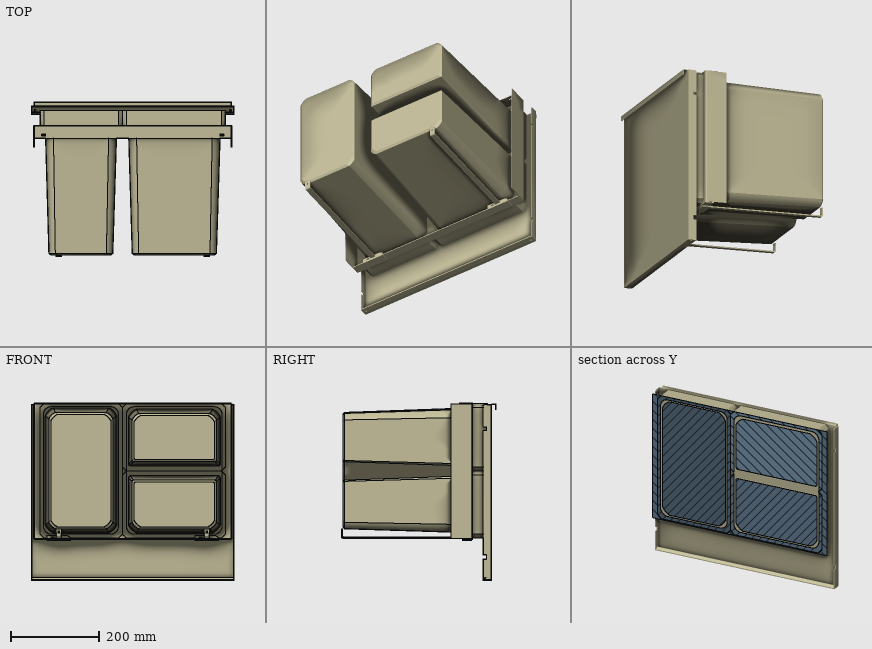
import cadquery as cq


sheet = 2.0

cover_width = 460.0
cover_height = 398.5
cover_front = 321.5
cover_back = 341.0
cover_corner_cut = 2.5
sill_height = 7.0
sill_lip_height = 2.5
sill_slope_depth = 5.0
sill_lip_edge = 1.5
sill_hole_x = 221.5
sill_hole_y = 330.7
sill_hole_diameter = 4.0
wall_notch_depth = 7.0
upper_notch = (340.5, 347.5)
lower_notch = (48.5, 58.0)

hook_width = 448.0
hook_top = 399.7
hook_sheet = 1.0
hook_back = 350.5
hook_drop = 12.0
hook_front_bend = 3.5
hook_back_bend = 0.7

frame_width = 450.0
frame_back = 297.5
frame_bottom = 92.5
frame_top = 402.0
frame_side_front = 248.0
frame_top_front = 267.5
frame_bottom_front = 277.0
frame_corner_relief = 2.0
frame_bend = 2.8
frame_slot_x = 202.0
frame_slot_y = 276.0
frame_slot_length = 8.5
frame_slot_width = 3.0

recess_bottom = 105.0
recess_top = 393.8
recess_radius = 17.0
left_recess = (-202.5, -32.5)
right_recess = (-14.3, 202.5)

rim_side = 210.0
rim_split_x = -23.5
rim_bottom = 95.5
rim_top = 401.0
rim_split_z = 248.0
rim_back = 330.7
rim_corner = 9.0
bin_floor = 3.0
floor_bevel_inset = 4.5
floor_bevel_depth = 3.5
neck_corner = 18.5
floor_corner = 14.5
inner_neck_corner = 4.5
inner_floor_corner = 2.8
corner_flatness = 2

rail_x = 168.0
rail_width = 12.5
rail_sheet = 2.8
rail_bottom = 95.0
rail_tip_top = 117.0
rail_bend = 4.0
rail_hole_z = 109.5
rail_hole_width = 3.0
rail_hole_height = 5.0

clip_start = 26.5
clip_length = 53.5
clip_bottom = 90.0
clip_top = 101.5
clip_nose_height = 6.5
clip_nose_length = 8.0
clip_foot_back = 295.5
clip_slot_start = 9.5
clip_slot_length = 6.5
clip_slot_height = 3.0
clip_slot_z = 97.0


def block(x_range, y_range, z_range):
    """Box between the given limits."""
    (x0, x1), (y0, y1), (z0, z1) = x_range, y_range, z_range
    return cq.Workplane("XY").box(x1 - x0, y1 - y0, z1 - z0, centered=False).translate((x0, y0, z0))


def centred(width):
    """Limits of a width that is symmetric about the middle plane."""
    return (-width / 2, width / 2)


def facing_plane(y):
    """Workplane whose local axes are X and Z, at depth y, extruding toward -Y."""
    return cq.Workplane("XZ", origin=(0, y, 0))


def make_cover():
    inner_back = cover_back - sheet
    cover = block(centred(cover_width), (inner_back, cover_back), (0, cover_height))

    wall = (
        cq.Workplane("YZ")
        .moveTo(cover_front, 0)
        .lineTo(cover_back, 0)
        .lineTo(cover_back, cover_height)
        .lineTo(cover_front + cover_corner_cut, cover_height)
        .lineTo(cover_front, cover_height - cover_corner_cut)
        .close()
        .extrude(sheet)
    )
    for notch in (upper_notch, lower_notch):
        wall = wall.cut(block((0, sheet), (cover_front, cover_front + wall_notch_depth), notch))
    for wall_x in (-cover_width / 2, cover_width / 2 - sheet):
        cover = cover.union(wall.translate((wall_x, 0, 0)))

    sill = (
        cq.Workplane("YZ", origin=(-cover_width / 2, 0, 0))
        .moveTo(cover_front, 0)
        .lineTo(cover_back, 0)
        .lineTo(cover_back, sheet)
        .lineTo(cover_front + sill_lip_edge, sheet)
        .lineTo(cover_front + sill_slope_depth + sill_lip_edge, sill_height)
        .lineTo(cover_front + sill_slope_depth, sill_height)
        .lineTo(cover_front, sill_lip_height)
        .close()
        .extrude(cover_width)
    )
    sill_holes = (
        cq.Workplane("XY")
        .pushPoints([(-sill_hole_x, sill_hole_y), (sill_hole_x, sill_hole_y)])
        .circle(sill_hole_diameter / 2)
        .extrude(sheet)
    )
    return cover.union(sill.cut(sill_holes)).union(make_hook_strip())


def make_hook_strip():
    """Strip that rises from the cover, folds back and turns down at its far edge."""
    front = cover_back - sheet
    return (
        cq.Workplane("YZ", origin=(-hook_width / 2, 0, 0))
        .moveTo(front, sill_height)
        .lineTo(front, hook_top - hook_front_bend)
        .radiusArc((front + hook_front_bend, hook_top), hook_front_bend)
        .lineTo(hook_back - hook_back_bend, hook_top)
        .radiusArc((hook_back, hook_top - hook_back_bend), hook_back_bend)
        .lineTo(hook_back, hook_top - hook_drop)
        .lineTo(hook_back - hook_sheet, hook_top - hook_drop)
        .lineTo(hook_back - hook_sheet, hook_top - hook_sheet)
        .lineTo(cover_back, hook_top - hook_sheet)
        .lineTo(cover_back, sill_height)
        .close()
        .extrude(hook_width)
    )


tall_rim = ((-rim_side, rim_split_x), (rim_bottom, rim_top))
upper_rim = ((rim_split_x, rim_side), (rim_split_z, rim_top))
lower_rim = ((rim_split_x, rim_side), (rim_bottom, rim_split_z))


def make_rim(x_range, z_range):
    """Eight-sided block that starts flush with the front of the frame plate."""
    return block(x_range, (frame_back - sheet, rim_back), z_range).edges("|Y").chamfer(rim_corner)


def make_rim_gap():
    """Space enclosed by the cut corners where the three rims meet."""
    return block(
        (rim_split_x, rim_split_x + rim_corner),
        (frame_back - sheet, frame_back),
        (rim_split_z - rim_corner, rim_split_z + rim_corner),
    )


def make_recess(x_range):
    """Round-cornered recess in the rim faces, as deep as the frame plate is thick."""
    recess = block(x_range, (frame_back - sheet, frame_back), (recess_bottom, recess_top))
    return recess.edges("|Y").fillet(recess_radius)


def make_frame():
    plate_width = frame_width - 2 * frame_corner_relief
    side_bottom = frame_bottom + frame_corner_relief
    side_top = frame_top - frame_corner_relief

    sides = block(centred(frame_width), (frame_side_front, frame_back), (side_bottom, side_top))
    sides = sides.edges("|Z and >Y").fillet(frame_bend)
    between_sides = block(
        centred(frame_width - 2 * sheet), (frame_side_front, frame_back - sheet), (side_bottom, side_top)
    )
    frame = sides.cut(between_sides)

    top_wall = block(centred(plate_width), (frame_top_front, frame_back), (frame_top - sheet, frame_top))
    slots = (
        cq.Workplane("XY", origin=(0, 0, frame_top - sheet))
        .pushPoints([(-frame_slot_x, frame_slot_y), (frame_slot_x, frame_slot_y)])
        .rect(frame_slot_length, frame_slot_width)
        .extrude(sheet)
    )
    bottom_wall = block(
        centred(plate_width), (frame_bottom_front, frame_back), (frame_bottom, frame_bottom + sheet)
    )
    plate = block(centred(plate_width), (frame_back - sheet, frame_back), (frame_bottom, frame_top))
    frame = frame.union(plate).union(top_wall.cut(slots)).union(bottom_wall)

    for rim_limits in (tall_rim, upper_rim, lower_rim):
        frame = frame.cut(make_rim(*rim_limits))
    return frame.cut(make_rim_gap())


def rounded_outline(y, x_range, z_range, bottom_corner, top_corner):
    """Closed rectangle at depth y with blunted corners, each cut by a flat arc.

    A corner size is the length that the arc takes from either side.
    """
    (x0, x1), (z0, z1) = x_range, z_range
    low, high = bottom_corner, top_corner
    low_radius = low * corner_flatness
    high_radius = high * corner_flatness
    return (
        facing_plane(y)
        .moveTo(x0 + low, z0)
        .lineTo(x1 - low, z0)
        .radiusArc((x1, z0 + low), -low_radius)
        .lineTo(x1, z1 - high)
        .radiusArc((x1 - high, z1), -high_radius)
        .lineTo(x0 + high, z1)
        .radiusArc((x0, z1 - high), -high_radius)
        .lineTo(x0, z0 + low)
        .radiusArc((x0 + low, z0), -low_radius)
        .close()
    )


def inset_limits(limits, inset):
    return tuple((low + inset, high - inset) for low, high in limits)


def make_bin(rim, recess, neck, floor, neck_corners, floor_corners):
    """One bin; rim, neck and floor are pairs of X limits and Z limits, corner sizes are (bottom, top)."""
    floor_face = inset_limits(floor, floor_bevel_inset)
    outlines = [
        rounded_outline(frame_back, *neck, *neck_corners),
        rounded_outline(bin_floor + floor_bevel_depth, *floor, *floor_corners),
        rounded_outline(bin_floor, *floor_face, *floor_corners),
    ]
    body = cq.Workplane(cq.Solid.makeLoft([outline.val() for outline in outlines], True))
    return make_rim(*rim).cut(make_recess(recess)).union(body)


tall_bin = make_bin(
    rim=tall_rim,
    recess=left_recess,
    neck=((-198.5, -36.0), (107.5, 391.5)),
    floor=((-190.5, -45.0), (117.0, 381.0)),
    neck_corners=(neck_corner, neck_corner),
    floor_corners=(floor_corner, floor_corner),
)
upper_bin = make_bin(
    rim=upper_rim,
    recess=right_recess,
    neck=((-10.0, 199.0), (259.0, 388.2)),
    floor=((-1.5, 190.0), (269.0, 378.5)),
    neck_corners=(inner_neck_corner, neck_corner),
    floor_corners=(inner_floor_corner, floor_corner),
)
lower_bin = make_bin(
    rim=lower_rim,
    recess=right_recess,
    neck=((-10.0, 199.0), (107.5, 237.5)),
    floor=((-1.5, 190.0), (117.0, 227.2)),
    neck_corners=(neck_corner, inner_neck_corner),
    floor_corners=(floor_corner, inner_floor_corner),
)


def make_rail(centre_x):
    """Flat strip that turns up at its free end; the other end butts against a clip."""
    rail_end = frame_bottom_front - sheet
    rail = (
        cq.Workplane("YZ", origin=(-rail_width / 2, 0, 0))
        .moveTo(rail_end, rail_bottom)
        .lineTo(rail_bend, rail_bottom)
        .radiusArc((0, rail_bottom + rail_bend), rail_bend)
        .lineTo(0, rail_tip_top)
        .lineTo(rail_sheet, rail_tip_top)
        .lineTo(rail_sheet, rail_bottom + rail_bend)
        .radiusArc((rail_bend, rail_bottom + rail_sheet), rail_sheet - rail_bend)
        .lineTo(rail_end, rail_bottom + rail_sheet)
        .close()
        .extrude(rail_width)
    )
    hole = (
        facing_plane(rail_sheet)
        .center(0, rail_hole_z)
        .rect(rail_hole_width, rail_hole_height)
        .extrude(rail_sheet)
    )
    return rail.cut(hole).translate((centre_x, 0, 0))


def make_clip(centre_x):
    """Angle clip: an upright plate before the frame's bottom wall and a foot under that wall."""
    plate = (
        facing_plane(frame_bottom_front)
        .moveTo(0, clip_bottom)
        .lineTo(clip_length, clip_bottom)
        .lineTo(clip_length, clip_bottom + clip_nose_height)
        .lineTo(clip_length - clip_nose_length, clip_top)
        .lineTo(0, clip_top)
        .close()
        .extrude(sheet)
    )
    slot = (
        facing_plane(frame_bottom_front)
        .center(clip_slot_start + clip_slot_length / 2, clip_slot_z)
        .rect(clip_slot_length, clip_slot_height)
        .extrude(sheet)
    )
    foot = block((0, clip_length), (frame_bottom_front, clip_foot_back), (clip_bottom, frame_bottom))
    return plate.cut(slot).union(foot).translate((centre_x - clip_start, 0, 0))


rail_centres = (-rail_x, rail_x)
cover = make_cover()
frame = make_frame()
rails = [make_rail(x) for x in rail_centres]
clips = [make_clip(x) for x in rail_centres]

result = cq.Compound.makeCompound(
    [body.val() for body in (cover, frame, tall_bin, upper_bin, lower_bin, *rails, *clips)]
)